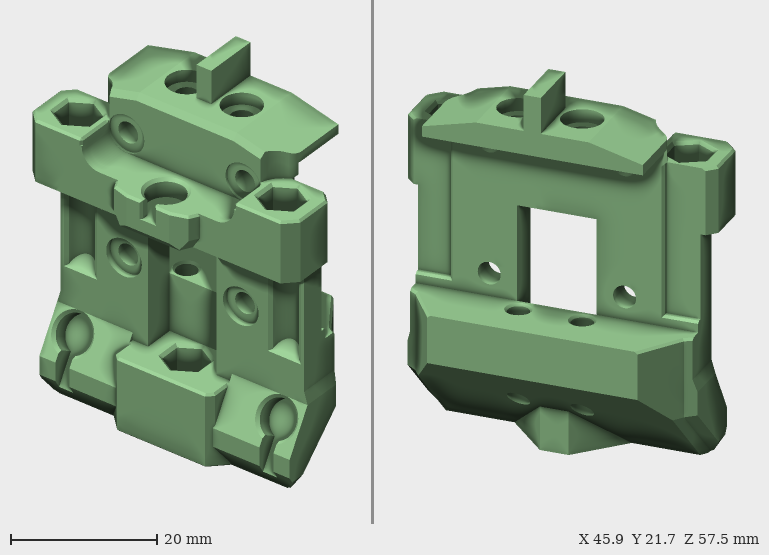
import cadquery as cq
import math


TOP_Z = 57.5
SHELF_TOP_Z = 52.05
SHELF_EDGE_Z = 50.0
SHELF_BOTTOM_Z = 48.5
TOWER_TOP_Z = 46.05
BAR_TOP_Z = 41.85
ARM_BOTTOM_Z = 36.0
LEDGE_Z = 21.5
PLATE_FLARE_Z = 15.25
EAR_TOP_Z = 13.3
BLOCK_TOP_Z = 12.0

REAR_Y = 8.9
ARM_REAR_Y = -0.9
WALL_FRONT_Y = -4.3
PLATE_FRONT_Y = -4.9
EAR_FRONT_Y = -8.95
BLOCK_FRONT_Y = -9.7
ARM_FRONT_Y = -10.45
NOSE_FRONT_Y = -12.75

ARM_HALF = 22.95
EAR_HALF = 21.45
PLATE_HALF = 20.9
SHELF_HALF = 16.35
SHELF_FLAT_HALF = 8.35
BLOCK_HALF = 8.5
BLOCK_FACE_HALF = 7.55
WINDOW_HALF = 5.85

PLATE_SCREW_X = 10.0
PLATE_SCREW_LOW_Z = 24.95
PLATE_SCREW_HIGH_Z = PLATE_SCREW_LOW_Z + 2 * PLATE_SCREW_X
PLATE_HEAD_DEPTH = 1.0
SCREW_HOLE_D = 3.4
SCREW_HEAD_D = 6.1

SHELF_SCREW_X = 4.7
SHELF_SCREW_Y = 2.35
SHELF_HEAD_DEPTH = 1.95
BLOCK_SCREW_D = 3.2

CLAMP_X = 17.5
CLAMP_Y = -5.3
CLAMP_HOLE_D = 4.8
TOWER_CLEARANCE_R = 4.65
NUT_FLATS = 5.9
TOWER_NUT_DEPTH = 5.75
BLOCK_NUT_Y = -3.85
BLOCK_NUT_DEPTH = 6.3
GROOVE_END_Z = 19.5
GROOVE_BEVEL = 0.45

MAGNET_D = 6.0
MAGNET_DEPTH = 3.0
NOSE_MAGNET_Y = -8.6
NOSE_SLOT_WIDTH = 2.1
EAR_SLOT_WIDTH = 2.4
EAR_MAGNET_Z = 10.35

UNDERSIDE_REAR_Z = 14.25
UNDERSIDE_SLOPE = math.tan(math.radians(44))
EAR_LIP_TOP_Z = 6.45
EAR_LIP_BOTTOM_Z = 3.4
EAR_TOE_Y = -6.9
BLOCK_SHOULDER_X = 10.0
BLOCK_REAR_Y = 1.0

FIN_WIDTH = 2.55
EDGE_BREAK = 0.35
RIM_BREAK = 0.45
FOOT_BREAK = 0.3
FAR = 34.5

SIDES = (-1, 1)


def box(x0, x1, y0, y1, z0, z1):
    return cq.Workplane("XY").box(x1 - x0, y1 - y0, z1 - z0, centered=False).translate((x0, y0, z0))


def mirrored(right_half):
    """Close an outline given from the centre outwards on its +X half."""
    return right_half + [(-x, v) for x, v in reversed(right_half)]


def plan_prism(points, z0, z1):
    return cq.Workplane("XY", origin=(0, 0, z0)).polyline(points).close().extrude(z1 - z0)


def front_prism(points, y0, y1):
    """Extrude an XZ outline from y0 (front) to y1 (rear)."""
    return cq.Workplane("XZ", origin=(0, y1, 0)).polyline(points).close().extrude(y1 - y0)


def side_prism(points, half_width):
    """Extrude a YZ outline symmetrically about X = 0."""
    return cq.Workplane("YZ").polyline(points).close().extrude(half_width, both=True)


def rod(diameter, x, y, z0, z1):
    return cq.Workplane("XY", origin=(x, y, z0)).circle(diameter / 2).extrude(z1 - z0)


def cross_rod(diameter, x, z, y0, y1):
    return cq.Workplane("XZ", origin=(x, y1, z)).circle(diameter / 2).extrude(y1 - y0)


def nut_pocket(x, y, top_z, depth):
    """Hexagon with points along Y and a bevelled mouth."""
    corner_d = NUT_FLATS / math.cos(math.pi / 6)
    mouth_d = (NUT_FLATS + 2 * RIM_BREAK) / math.cos(math.pi / 6)
    spin = ((x, y, 0), (x, y, 1), 30)
    hexagon = cq.Workplane("XY", origin=(x, y, top_z)).polygon(6, corner_d).extrude(-depth)
    mouth = (
        cq.Workplane("XY", origin=(x, y, top_z)).polygon(6, mouth_d)
        .workplane(offset=-RIM_BREAK).polygon(6, corner_d).loft(ruled=True)
    )
    return hexagon.union(mouth).rotate(*spin)


def magnet_pocket(plane, slot_width):
    """Round pocket with a removal slot running along the local -Y of the plane."""
    disc = cq.Workplane(plane).circle(MAGNET_D / 2).extrude(-MAGNET_DEPTH)
    mouth = (
        cq.Workplane(plane).circle(MAGNET_D / 2 + RIM_BREAK)
        .workplane(offset=-RIM_BREAK).circle(MAGNET_D / 2).loft()
    )
    slot = (
        cq.Workplane(plane).center(0, -FAR / 2).rect(slot_width, FAR)
        .extrude(MAGNET_DEPTH, both=True)
    )
    return disc.union(mouth).union(slot)


def make_lower_block():
    """Rear wedge and the two sloping ears, cut to width by three outlines."""
    underside_end_y = REAR_Y - UNDERSIDE_REAR_Z / UNDERSIDE_SLOPE
    body = side_prism(
        [
            (REAR_Y, LEDGE_Z),
            (REAR_Y, UNDERSIDE_REAR_Z),
            (underside_end_y, 0),
            (EAR_TOE_Y, 0),
            (EAR_FRONT_Y, EAR_LIP_BOTTOM_Z),
            (EAR_FRONT_Y, EAR_LIP_TOP_Z),
            (PLATE_FRONT_Y, EAR_TOP_Z),
            (PLATE_FRONT_Y, LEDGE_Z),
        ],
        EAR_HALF,
    )

    corner_x, corner_y, wing_rear_x = 19.85, 2.65, 15.5
    corner_end_y = 1.6
    wings = plan_prism(
        mirrored([
            (wing_rear_x, REAR_Y),
            (corner_x, corner_y),
            (EAR_HALF, corner_end_y),
            (EAR_HALF, -FAR),
        ]),
        0, LEDGE_Z,
    )
    wing_edges = cq.selectors.BoxSelector((-FAR, 0.6, LEDGE_Z - 0.6), (FAR, REAR_Y - 0.6, LEDGE_Z + 0.6))
    wings = wings.edges(wing_edges).chamfer(EDGE_BREAK)

    toe_half, toe_bevel_z = 20.0, 2.5
    width_outline = front_prism(
        mirrored([
            (toe_half, 0),
            (EAR_HALF, toe_bevel_z),
            (EAR_HALF, EAR_TOP_Z),
            (PLATE_HALF, PLATE_FLARE_Z),
            (PLATE_HALF, LEDGE_Z),
        ]),
        -FAR, FAR,
    )

    bottom_half = 18.8
    bevel_depth, bevel_end_depth = 1.05, 1.85
    slope = cq.Plane(origin=(0, REAR_Y, UNDERSIDE_REAR_Z), xDir=(1, 0, 0), normal=(0, -1, -UNDERSIDE_SLOPE))
    underside = (
        cq.Workplane(slope)
        .polyline(mirrored([
            (bottom_half, 0),
            (corner_x, bevel_depth),
            (EAR_HALF, bevel_end_depth),
            (EAR_HALF, FAR),
        ]))
        .close().extrude(FAR, both=True)
    )
    return body.intersect(wings).intersect(width_outline).intersect(underside)


def make_front_block():
    """Central block between the ears; its foot spreads out under them."""
    corner_y = BLOCK_FRONT_Y + BLOCK_HALF - BLOCK_FACE_HALF
    shoulder_y = BLOCK_FRONT_Y + BLOCK_SHOULDER_X - BLOCK_FACE_HALF
    rear_half = 2.1
    foot_top_z = UNDERSIDE_REAR_Z - (REAR_Y - BLOCK_REAR_Y) * UNDERSIDE_SLOPE
    core_rear_y = -2.9
    core = plan_prism(
        mirrored([
            (BLOCK_FACE_HALF, BLOCK_FRONT_Y),
            (BLOCK_HALF, corner_y),
            (BLOCK_HALF, core_rear_y),
        ]),
        EAR_LIP_BOTTOM_Z, BLOCK_TOP_Z,
    )
    top_front_edges = cq.selectors.BoxSelector(
        (-FAR, -FAR, BLOCK_TOP_Z - 0.6), (FAR, core_rear_y - 0.6, BLOCK_TOP_Z + 0.6))
    core = core.edges(top_front_edges).chamfer(EDGE_BREAK)
    foot = plan_prism(
        mirrored([
            (BLOCK_FACE_HALF, BLOCK_FRONT_Y),
            (BLOCK_SHOULDER_X, shoulder_y),
            (rear_half, BLOCK_REAR_Y),
        ]),
        0, foot_top_z,
    )
    bottom_front_edges = cq.selectors.BoxSelector((-FAR, -FAR, -0.6), (FAR, shoulder_y - 0.05, 0.6))
    foot = foot.edges(bottom_front_edges).chamfer(FOOT_BREAK)
    return core.union(foot)


def make_shelf_and_wall():
    """Upper wall and rear shelf, with a bevelled front edge and room around the towers."""
    bevel_y, bevel_z = 0.75, 1.0
    bevel_rear_y = WALL_FRONT_Y + bevel_y

    def roofed_outline(base_z, drop):
        return mirrored([
            (SHELF_HALF, base_z),
            (SHELF_HALF, SHELF_EDGE_Z - drop),
            (SHELF_FLAT_HALF, SHELF_TOP_Z - drop),
        ])

    wall = front_prism(roofed_outline(ARM_BOTTOM_Z, 0), bevel_rear_y, 0)
    shelf = front_prism(roofed_outline(SHELF_BOTTOM_Z, 0), 0, REAR_Y)

    bevel = (
        cq.Workplane("XZ", origin=(0, bevel_rear_y, 0))
        .polyline(roofed_outline(ARM_BOTTOM_Z, 0)).close()
        .workplane(offset=bevel_y)
        .polyline(roofed_outline(ARM_BOTTOM_Z, bevel_z)).close()
        .loft(ruled=True)
    )
    body = wall.union(shelf).union(bevel)

    round_r = 1.95
    round_x = SHELF_HALF - round_r
    reach = TOWER_CLEARANCE_R + round_r
    round_y = CLAMP_Y + math.sqrt(reach ** 2 - (CLAMP_X - round_x) ** 2)
    blend_x = round_x + (CLAMP_X - round_x) * round_r / reach
    blend_y = round_y + (CLAMP_Y - round_y) * round_r / reach
    for side in SIDES:
        body = body.cut(rod(2 * TOWER_CLEARANCE_R, side * CLAMP_X, CLAMP_Y, TOWER_TOP_Z, TOP_Z))
        corner = plan_prism(
            [
                (side * SHELF_HALF, round_y),
                (side * blend_x, blend_y),
                (side * CLAMP_X, CLAMP_Y),
                (side * CLAMP_X, round_y),
            ],
            TOWER_TOP_Z, TOP_Z,
        )
        corner = corner.cut(rod(2 * round_r, side * round_x, round_y, TOWER_TOP_Z, TOP_Z))
        body = body.cut(corner)

    fin = box(-FIN_WIDTH / 2, FIN_WIDTH / 2, 0, REAR_Y, SHELF_BOTTOM_Z, TOP_Z)
    return body.union(fin)


def make_arms():
    """Cross bar with a tower at each end."""
    rear_corner, front_corner = 1.4, 1.95
    arms = plan_prism(
        mirrored([
            (ARM_HALF - front_corner, ARM_FRONT_Y),
            (ARM_HALF, ARM_FRONT_Y + front_corner),
            (ARM_HALF, ARM_REAR_Y - rear_corner),
            (ARM_HALF - rear_corner, ARM_REAR_Y),
        ]),
        ARM_BOTTOM_Z, TOWER_TOP_Z,
    )
    head_r = SCREW_HEAD_D / 2
    channel_half = PLATE_SCREW_X + head_r
    gap = box(-channel_half, channel_half, -FAR, WALL_FRONT_Y, PLATE_SCREW_HIGH_Z, TOP_Z)
    top_edges = cq.selectors.BoxSelector(
        (-FAR, -FAR, TOWER_TOP_Z - 0.6), (FAR, ARM_REAR_Y - 0.05, TOWER_TOP_Z + 0.6))
    arms = arms.cut(gap).edges(top_edges).chamfer(EDGE_BREAK)
    channel = box(-channel_half, channel_half, -FAR, WALL_FRONT_Y, BAR_TOP_Z, TOP_Z)
    return arms.cut(channel.edges("|Y and <Z").fillet(head_r))


def make_nose():
    """Magnet holder on the front of the cross bar."""
    root_half, knee_half, tip_half = 7.2, 6.4, 3.7
    knee_y = -11.95
    root = (root_half, ARM_FRONT_Y)
    knee = (knee_half, knee_y)
    nose = plan_prism(
        mirrored([
            (root_half, NOSE_MAGNET_Y),
            root,
            knee,
            (tip_half, NOSE_FRONT_Y),
        ]),
        ARM_BOTTOM_Z, BAR_TOP_Z,
    )
    front_edges = cq.selectors.BoxSelector(
        (-FAR, -FAR, BAR_TOP_Z - 0.6), (FAR, ARM_FRONT_Y - 0.05, BAR_TOP_Z + 0.6))
    nose = nose.edges(front_edges).chamfer(EDGE_BREAK)

    front_bevel_y, front_bevel_z = 0.5, 0.85
    nose = nose.cut(side_prism(
        [
            (NOSE_FRONT_Y, ARM_BOTTOM_Z),
            (NOSE_FRONT_Y + front_bevel_y, ARM_BOTTOM_Z),
            (NOSE_FRONT_Y, ARM_BOTTOM_Z + front_bevel_z),
        ],
        root_half,
    ))

    side_bevel, side_bevel_z = 1.05, 1.9
    for side in SIDES:
        along = cq.Vector(side * (root[0] - knee[0]), root[1] - knee[1], 0)
        outward = cq.Vector(side * along.y, -side * along.x, 0)
        facet = cq.Plane(origin=(side * knee[0], knee[1], ARM_BOTTOM_Z), xDir=outward, normal=along)
        up = facet.yDir.z
        wedge = (
            cq.Workplane(facet)
            .polyline([(0, up * side_bevel_z), (-side_bevel, 0), (side_bevel, 0)])
            .close().extrude(2 * root_half, both=True)
        )
        in_front = box(-FAR, FAR, -FAR, ARM_FRONT_Y, ARM_BOTTOM_Z, BAR_TOP_Z)
        nose = nose.cut(wedge.intersect(in_front))
    return nose


def cut_window(body):
    """Opening through the plate; below the ledge it is closed behind by the lower block."""
    return body.cut(box(-WINDOW_HALF, WINDOW_HALF, PLATE_FRONT_Y, 0, BLOCK_TOP_Z, ARM_BOTTOM_Z))


def cut_rear_recesses(body):
    """Shallow recess with a bevelled rim in the rear outer edge of the plate on each side."""
    recess_x, low_z, high_z = 15.8, 23.2, 46.65
    corner = 0.6

    def outline(side, growth):
        return [
            (side * (recess_x - growth), low_z - growth),
            (side * FAR, low_z - growth),
            (side * FAR, high_z),
            (side * (recess_x + corner), high_z),
            (side * (recess_x - growth), high_z - corner - growth),
        ]

    for side in SIDES:
        rim = (
            cq.Workplane("XZ").polyline(outline(side, EDGE_BREAK)).close()
            .workplane(offset=EDGE_BREAK).polyline(outline(side, 0)).close()
            .loft(ruled=True)
        )
        body = body.cut(front_prism(outline(side, 0), ARM_REAR_Y, 0)).cut(rim)
    return body


def cut_screws(body):
    head_floor_y = PLATE_FRONT_Y + PLATE_HEAD_DEPTH
    ledge_mouth_d = BLOCK_SCREW_D + 2 * EDGE_BREAK
    for side in SIDES:
        x = side * PLATE_SCREW_X
        for z in (PLATE_SCREW_LOW_Z, PLATE_SCREW_HIGH_Z):
            body = body.cut(cross_rod(SCREW_HOLE_D, x, z, -FAR, FAR))
            body = body.cut(cross_rod(SCREW_HEAD_D, x, z, -FAR, head_floor_y))
        x = side * SHELF_SCREW_X
        body = body.cut(rod(SCREW_HOLE_D, x, SHELF_SCREW_Y, SHELF_BOTTOM_Z, TOP_Z))
        body = body.cut(rod(SCREW_HEAD_D, x, SHELF_SCREW_Y, SHELF_TOP_Z - SHELF_HEAD_DEPTH, SHELF_TOP_Z))
        body = body.cut(rod(BLOCK_SCREW_D, x, SHELF_SCREW_Y, 0, LEDGE_Z))
        ledge_mouth = (
            cq.Workplane("XY", origin=(x, SHELF_SCREW_Y, LEDGE_Z)).circle(ledge_mouth_d / 2)
            .workplane(offset=-EDGE_BREAK).circle(BLOCK_SCREW_D / 2).loft()
        )
        body = body.cut(ledge_mouth)
    return body


def cut_clamps(body):
    """Nut pockets in the towers, with a groove down the plate ending in a 45 degree floor."""
    hole_r = CLAMP_HOLE_D / 2
    bevel_depth = 0.6
    floor_reach = PLATE_FRONT_Y - GROOVE_END_Z
    above_floor = side_prism(
        [
            (-FAR, -FAR - floor_reach),
            (0, -floor_reach),
            (0, TOWER_TOP_Z),
            (-FAR, TOWER_TOP_Z),
        ],
        FAR,
    )
    for side in SIDES:
        x = side * CLAMP_X
        body = body.cut(rod(CLAMP_HOLE_D, x, CLAMP_Y, GROOVE_END_Z, TOWER_TOP_Z).intersect(above_floor))
        mouth = plan_prism(
            [
                (x - hole_r - GROOVE_BEVEL, PLATE_FRONT_Y),
                (x + hole_r + GROOVE_BEVEL, PLATE_FRONT_Y),
                (x + hole_r - GROOVE_BEVEL, PLATE_FRONT_Y + bevel_depth),
                (x - hole_r + GROOVE_BEVEL, PLATE_FRONT_Y + bevel_depth),
            ],
            GROOVE_END_Z, ARM_BOTTOM_Z,
        )
        body = body.cut(mouth.intersect(above_floor))
        body = body.cut(nut_pocket(x, CLAMP_Y, TOWER_TOP_Z, TOWER_NUT_DEPTH))
    return body.cut(nut_pocket(0, BLOCK_NUT_Y, BLOCK_TOP_Z, BLOCK_NUT_DEPTH))


def cut_magnets(body):
    nose_plane = cq.Plane(origin=(0, NOSE_MAGNET_Y, BAR_TOP_Z), xDir=(1, 0, 0), normal=(0, 0, 1))
    body = body.cut(magnet_pocket(nose_plane, NOSE_SLOT_WIDTH))
    slot_half = NOSE_SLOT_WIDTH / 2
    slot_mouth = plan_prism(
        mirrored([
            (slot_half + EDGE_BREAK, NOSE_FRONT_Y),
            (slot_half, NOSE_FRONT_Y + EDGE_BREAK),
        ]),
        BAR_TOP_Z - MAGNET_DEPTH, BAR_TOP_Z,
    )
    body = body.cut(slot_mouth)
    run = PLATE_FRONT_Y - EAR_FRONT_Y
    rise = EAR_TOP_Z - EAR_LIP_TOP_Z
    ear_y = PLATE_FRONT_Y - (EAR_TOP_Z - EAR_MAGNET_Z) * run / rise
    for side in SIDES:
        ear_plane = cq.Plane(
            origin=(side * CLAMP_X, ear_y, EAR_MAGNET_Z), xDir=(1, 0, 0), normal=(0, -rise, run))
        body = body.cut(magnet_pocket(ear_plane, EAR_SLOT_WIDTH))
    return body


plate = box(-PLATE_HALF, PLATE_HALF, PLATE_FRONT_Y, 0, PLATE_FLARE_Z, ARM_BOTTOM_Z)
centre_plate = box(-BLOCK_HALF, BLOCK_HALF, PLATE_FRONT_Y, 0, BLOCK_TOP_Z, PLATE_FLARE_Z)
ear_notch = box(-BLOCK_HALF, BLOCK_HALF, -FAR, PLATE_FRONT_Y, BLOCK_TOP_Z, EAR_TOP_Z)

result = make_lower_block().cut(ear_notch)
for section in (make_front_block(), plate, centre_plate, make_shelf_and_wall(), make_arms(), make_nose()):
    result = result.union(section)
for cut_feature in (cut_window, cut_rear_recesses, cut_screws, cut_clamps, cut_magnets):
    result = cut_feature(result)